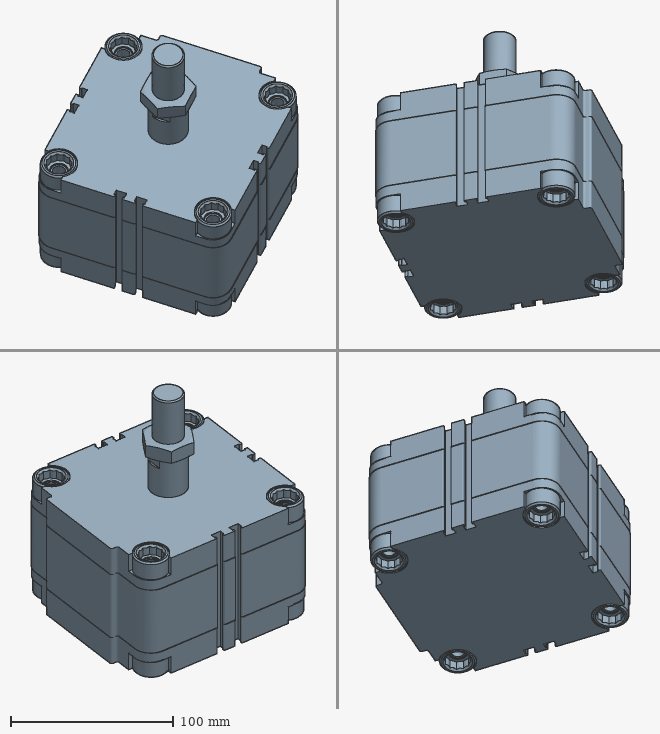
import cadquery as cq
import math

TOTAL_HEIGHT = 156.5
CAP_HEIGHT = 19.5
BARREL_HEIGHT = 47.3
BLOCK_HEIGHT = BARREL_HEIGHT + 2 * CAP_HEIGHT

BARREL_HALF_SIDE = 64.0
CAP_SIDE_INSET = 0.5
CAP_FRONT_INSET = 0.2
CORNER_CENTER = 51.5

TAB_HALF_WIDTH = 33.8
TAB_HEIGHT = 5.0
TAB_ROUND = 1.4

SLOT_SPACING = 13.6
SLOT_NECK_WIDTH = 5.2
SLOT_WIDTH = 6.9
SLOT_LIP = 2.2
SLOT_DEPTH = 5.6
SLOT_MOUTH_ROUND = 0.5

POCKET_EDGE = 45.0
POCKET_DEPTH = 12.4
BOSS_DIAMETER = 23.0
BOSS_CHAMFER = 1.1
SOCKET_MOUTH_DIAMETER = 18.3
SOCKET_VALLEY_DIAMETER = 15.3
SOCKET_POINT_DIAMETER = 16.5
SOCKET_POINTS = 12
SOCKET_DEPTH = 7.0
SEAT_RIM_DIAMETER = 11.5
SEAT_DIAMETER = 10.5
SEAT_DEPTH = 0.8
SCREW_HOLE_DIAMETER = 8.1

ROD_DIAMETER = 25.0
STUD_DIAMETER = 20.0
STUD_CHAMFER = 1.0
FLAT_BOTTOM = 107.4
FLAT_SPACING = 22.0

NUT_BOTTOM = 114.5
NUT_HEIGHT = 10.0
NUT_ACROSS_FLATS = 30.0
NUT_FACE_DIAMETER = 29.0
NUT_CHAMFER_ANGLE = 15.0

CORNERS = [(sx * CORNER_CENTER, sy * CORNER_CENTER) for sx in (-1, 1) for sy in (-1, 1)]
SLOT_CENTERS = [(0, -SLOT_SPACING / 2), (0, SLOT_SPACING / 2)]


def section(side_inset, front_inset, bottom, height):
    """Prism of the housing outline with its tab and slot openings, set back by the two insets."""
    half_width = BARREL_HALF_SIDE - side_inset
    half_depth = BARREL_HALF_SIDE - front_inset
    prism = (
        cq.Workplane("XY", origin=(0, 0, bottom))
        .rect(2 * half_width, 2 * half_depth)
        .extrude(height)
        .edges("|Z")
        .fillet(half_width - CORNER_CENTER)
    )
    tab = (
        cq.Workplane("XY", origin=(0, half_depth + TAB_HEIGHT / 2, bottom))
        .rect(2 * TAB_HALF_WIDTH, TAB_HEIGHT)
        .extrude(height)
    )
    around_tab = cq.selectors.BoxSelector(
        (-TAB_HALF_WIDTH - TAB_ROUND, half_depth - TAB_HEIGHT, bottom),
        (TAB_HALF_WIDTH + TAB_ROUND, half_depth + 2 * TAB_HEIGHT, bottom + height),
    )
    prism = prism.union(tab).edges("|Z").edges(around_tab).fillet(TAB_ROUND)
    return cut_slot_necks(prism, half_width, half_depth)


def cut_on_slotted_sides(body, cutter):
    """Cuts a cutter made for the +X side into the +X, -X and -Y sides."""
    for angle in (0, 180, -90):
        body = body.cut(cutter.rotate((0, 0, 0), (0, 0, 1), angle))
    return body


def slot_bars(outer, inner, width):
    """Bars taller than the housing on the two slot centres of the +X side, from x = inner to x = outer."""
    return (
        cq.Workplane("XY", origin=((outer + inner) / 2, 0, 0))
        .pushPoints(SLOT_CENTERS)
        .rect(outer - inner, width)
        .extrude(BLOCK_HEIGHT, both=True)
    )


def cut_slot_necks(prism, half_width, half_depth):
    """Cuts the narrow slot openings into a section and rounds their mouths."""
    lip_back = BARREL_HALF_SIDE - SLOT_LIP
    prism = cut_on_slotted_sides(prism, slot_bars(BARREL_HALF_SIDE, lip_back, SLOT_NECK_WIDTH))
    slot_zone = (SLOT_SPACING + SLOT_WIDTH) / 2

    def is_mouth(edge):
        center = edge.Center()
        on_side = abs(abs(center.x) - half_width) < SLOT_MOUTH_ROUND and abs(center.y) < slot_zone
        on_front = abs(center.y + half_depth) < SLOT_MOUTH_ROUND and abs(center.x) < slot_zone
        return on_side or on_front

    return prism.edges("|Z").filter(is_mouth).fillet(SLOT_MOUTH_ROUND)


def cone(top_diameter, bottom_diameter, height, top):
    """Cone frustum that runs down the Z axis from z = top."""
    return cq.Workplane(
        cq.Solid.makeCone(
            top_diameter / 2, bottom_diameter / 2, height, pnt=cq.Vector(0, 0, top), dir=cq.Vector(0, 0, -1)
        )
    )


def socket_cutter():
    """Flared twelve-point socket with its mouth at z = 0, and the screw seat below it."""
    step = math.pi / SOCKET_POINTS
    star = []
    for i in range(2 * SOCKET_POINTS):
        radius = (SOCKET_VALLEY_DIAMETER if i % 2 else SOCKET_POINT_DIAMETER) / 2
        star.append((radius * math.cos(i * step), radius * math.sin(i * step)))
    socket = cq.Workplane("XY").polyline(star).close().extrude(-SOCKET_DEPTH)
    mouth_height = (SOCKET_MOUTH_DIAMETER - SOCKET_VALLEY_DIAMETER) / 2
    mouth = cone(SOCKET_MOUTH_DIAMETER, SOCKET_VALLEY_DIAMETER, mouth_height, 0)
    rim_height = (SEAT_RIM_DIAMETER - SEAT_DIAMETER) / 2
    rim = cone(SEAT_RIM_DIAMETER, SEAT_DIAMETER, rim_height, -SOCKET_DEPTH)
    seat = cq.Workplane("XY").circle(SEAT_DIAMETER / 2).extrude(-SOCKET_DEPTH - SEAT_DEPTH)
    return socket.union(mouth).union(rim).union(seat)


def corner_pocket(x, y):
    """Open pocket, with its mouth at z = 0, that clears the cap corner around one boss."""
    reach = BARREL_HALF_SIDE - POCKET_EDGE
    middle = POCKET_EDGE + reach / 2
    notch = (
        cq.Workplane("XY", origin=(math.copysign(middle, x), math.copysign(middle, y), 0))
        .rect(reach, reach)
        .extrude(-POCKET_DEPTH)
    )
    return notch.union(cq.Workplane("XY", origin=(x, y, 0)).circle(BOSS_DIAMETER / 2).extrude(-POCKET_DEPTH))


def add_bosses(cap):
    """Adds the four socketed bosses to a cap whose outer face is at z = 0, facing up."""
    boss = (
        cq.Workplane("XY")
        .circle(BOSS_DIAMETER / 2)
        .extrude(-POCKET_DEPTH)
        .faces(">Z")
        .chamfer(BOSS_CHAMFER)
        .cut(socket_cutter())
    )
    for x, y in CORNERS:
        cap = cap.cut(corner_pocket(x, y)).union(boss.translate((x, y, 0)))
    return cap


def make_housing():
    """Proud barrel between two socketed caps, with T-slots and screw holes through all three."""
    cap = add_bosses(section(CAP_SIDE_INSET, CAP_FRONT_INSET, -CAP_HEIGHT, CAP_HEIGHT))
    lower_cap = cap.mirror("XY")
    upper_cap = cap.translate((0, 0, BLOCK_HEIGHT))
    barrel = section(0, 0, CAP_HEIGHT, BARREL_HEIGHT)
    housing = barrel.union(lower_cap).union(upper_cap)
    undercuts = slot_bars(BARREL_HALF_SIDE - SLOT_LIP, BARREL_HALF_SIDE - SLOT_DEPTH, SLOT_WIDTH)
    housing = cut_on_slotted_sides(housing, undercuts)
    holes = cq.Workplane("XY").pushPoints(CORNERS).circle(SCREW_HOLE_DIAMETER / 2).extrude(BLOCK_HEIGHT)
    return housing.cut(holes)


def make_rod():
    """Shank standing on the housing, with wrench flats below a chamfered stud."""
    shank = (
        cq.Workplane("XY", origin=(0, 0, BLOCK_HEIGHT))
        .circle(ROD_DIAMETER / 2)
        .extrude(NUT_BOTTOM - BLOCK_HEIGHT)
    )
    beside_flats = (
        cq.Workplane("XY", origin=(0, 0, FLAT_BOTTOM))
        .rect(2 * ROD_DIAMETER, 2 * ROD_DIAMETER)
        .rect(2 * ROD_DIAMETER, FLAT_SPACING)
        .extrude(NUT_BOTTOM - FLAT_BOTTOM)
    )
    stud = (
        cq.Workplane("XY", origin=(0, 0, NUT_BOTTOM))
        .circle(STUD_DIAMETER / 2)
        .extrude(TOTAL_HEIGHT - NUT_BOTTOM)
        .faces(">Z")
        .chamfer(STUD_CHAMFER)
    )
    return shank.cut(beside_flats).union(stud)


def make_nut():
    """Hexagon with two corners on the Y axis, chamfered at both faces."""
    hexagon = (
        cq.Workplane("XY")
        .polygon(6, NUT_ACROSS_FLATS / math.cos(math.radians(30)))
        .extrude(NUT_HEIGHT)
        .rotate((0, 0, 0), (0, 0, 1), 30)
    )
    face_radius = NUT_FACE_DIAMETER / 2
    half_height = NUT_HEIGHT / 2
    bulge = face_radius + half_height / math.tan(math.radians(NUT_CHAMFER_ANGLE))
    envelope = (
        cq.Workplane("XZ")
        .polyline([(0, 0), (face_radius, 0), (bulge, half_height), (face_radius, NUT_HEIGHT), (0, NUT_HEIGHT)])
        .close()
        .revolve(360, (0, 0, 0), (0, 1, 0))
    )
    bore = cq.Workplane("XY").circle(STUD_DIAMETER / 2).extrude(NUT_HEIGHT)
    return hexagon.intersect(envelope).cut(bore).translate((0, 0, NUT_BOTTOM))


housing = make_housing()
piston_rod = make_rod()
jam_nut = make_nut()

result = cq.Compound.makeCompound([housing.solids().val(), piston_rod.solids().val(), jam_nut.solids().val()])